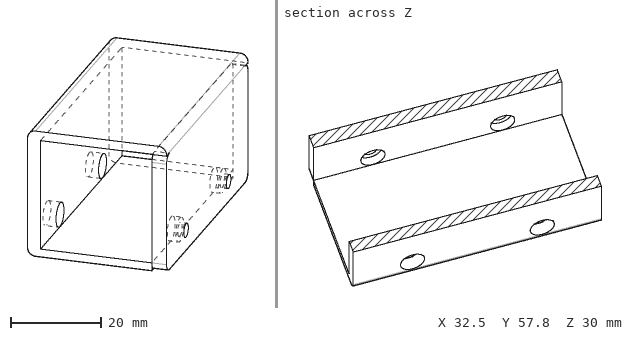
import cadquery as cq

width = 32.5
length = 57.8
height = 30.0

left_wall = 3.05
right_wall = 3.45
top_wall = 2.15
bottom_wall = 1.9

corner_radius = 1.9

screw_diameter = 3.2
head_diameter = 5.6
head_depth = 2.0
hole_spacing = 30.2
hole_height = 4.8

right_wall_x = width - right_wall
ceiling_z = height - top_wall
hole_positions = [(length - hole_spacing) / 2, (length + hole_spacing) / 2]


def box(x_min, x_max, z_min, z_max):
    """Full-length block between the given X and Z limits."""
    block = cq.Workplane("XY").box(x_max - x_min, length, z_max - z_min, centered=False)
    return block.translate((x_min, 0, z_min))


def cylinder_along_x(diameter, x_start, depth, y):
    """Cylinder at screw height, running toward +X."""
    return cq.Workplane("YZ", origin=(x_start, y, hole_height)).circle(diameter / 2).extrude(depth)


outer = box(0, width, 0, height).edges("|Y").fillet(corner_radius)
right_opening = box(right_wall_x, width, 0, ceiling_z)
cavity = box(left_wall, right_wall_x, bottom_wall, ceiling_z)
channel = outer.cut(right_opening).cut(cavity)

plate = box(right_wall_x, width, 0, ceiling_z).edges("|X").fillet(corner_radius)
result = channel.union(plate)

for hole_y in hole_positions:
    access_and_head = cylinder_along_x(head_diameter, 0, right_wall_x + head_depth, hole_y)
    screw_hole = cylinder_along_x(screw_diameter, right_wall_x, right_wall, hole_y)
    result = result.cut(access_and_head).cut(screw_hole)